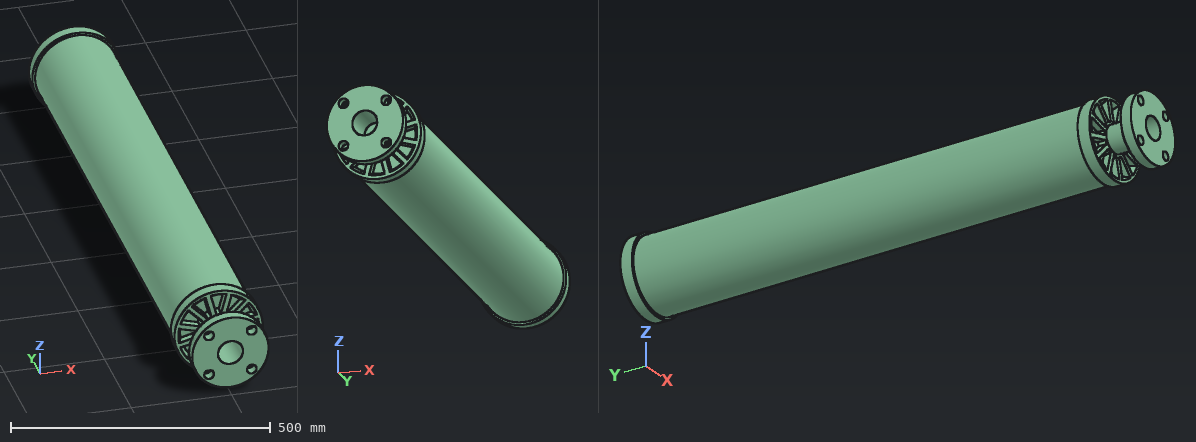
import cadquery as cq

total_length = 1181.0
flange_thickness = 24.0
collar_length = 21.0
neck_length = 44.0
cap_length = 27.0

flange_diameter = 152.0
collar_diameter = 83.0
neck_diameter = 60.0
cap_diameter = 176.0
tube_diameter = 165.0

bore_diameter = 50.0
pilot_diameter = 5.0
bolt_hole_diameter = 19.0
bolt_offset = 43.0

pocket_outer_diameter = 161.0
pocket_hub_diameter = 71.0
pocket_depth = 14.0
wall_draft = 7.0
rib_draft = 1.8
rib_count = 12
rib_thickness = 11.0

collar_start = flange_thickness
neck_start = collar_start + collar_length
front_cap_start = neck_start + neck_length
tube_start = front_cap_start + cap_length
end_cap_start = total_length - cap_length
tube_length = end_cap_start - tube_start


def plane_at(station):
    """Workplane across the axis at a station, with its normal along +Y."""
    origin = (0, station - total_length / 2, 0)
    return cq.Workplane(cq.Plane(origin, xDir=(-1, 0, 0), normal=(0, 1, 0)))


def cylinder(diameter, station, length):
    return plane_at(station).circle(diameter / 2).extrude(length)


def turned_body():
    return (
        cylinder(flange_diameter, 0, flange_thickness)
        .union(cylinder(collar_diameter, collar_start, collar_length))
        .union(cylinder(neck_diameter, neck_start, neck_length))
        .union(cylinder(cap_diameter, front_cap_start, cap_length))
        .union(cylinder(tube_diameter, tube_start, tube_length))
        .union(cylinder(cap_diameter, end_cap_start, cap_length))
    )


def drafted_disc(face_diameter, floor_diameter):
    """Cone frustum reaching from the front cap's face to the pocket floor."""
    return (
        plane_at(front_cap_start)
        .circle(face_diameter / 2)
        .workplane(offset=pocket_depth)
        .circle(floor_diameter / 2)
        .loft()
    )


def drafted_rib(angle):
    """Radial rib reaching out from the axis, thicker at the pocket floor than at the face."""
    rib_length = pocket_outer_diameter / 2
    return (
        plane_at(front_cap_start)
        .transformed(rotate=(0, 0, angle))
        .center(rib_length / 2, 0)
        .rect(rib_length, rib_thickness)
        .workplane(offset=pocket_depth)
        .rect(rib_length, rib_thickness + 2 * rib_draft)
        .loft()
    )


def cap_pockets():
    """Ring of pockets between the hub and the rim, divided by the ribs."""
    draft = 2 * wall_draft
    pockets = drafted_disc(pocket_outer_diameter, pocket_outer_diameter - draft)
    pockets = pockets.cut(drafted_disc(pocket_hub_diameter, pocket_hub_diameter + draft))
    for index in range(rib_count):
        angle = (index + 0.5) * 360 / rib_count
        pockets = pockets.cut(drafted_rib(angle))
    return pockets


def bolt_holes():
    spacing = 2 * bolt_offset
    return (
        plane_at(0)
        .rect(spacing, spacing, forConstruction=True)
        .vertices()
        .circle(bolt_hole_diameter / 2)
        .extrude(flange_thickness)
    )


def stepped_bore():
    """Bore down to the front cap, then a small pilot hole through the cap thickness."""
    bore = cylinder(bore_diameter, 0, front_cap_start)
    return bore.union(cylinder(pilot_diameter, front_cap_start, cap_length))


result = turned_body().cut(cap_pockets()).cut(bolt_holes()).cut(stepped_bore())